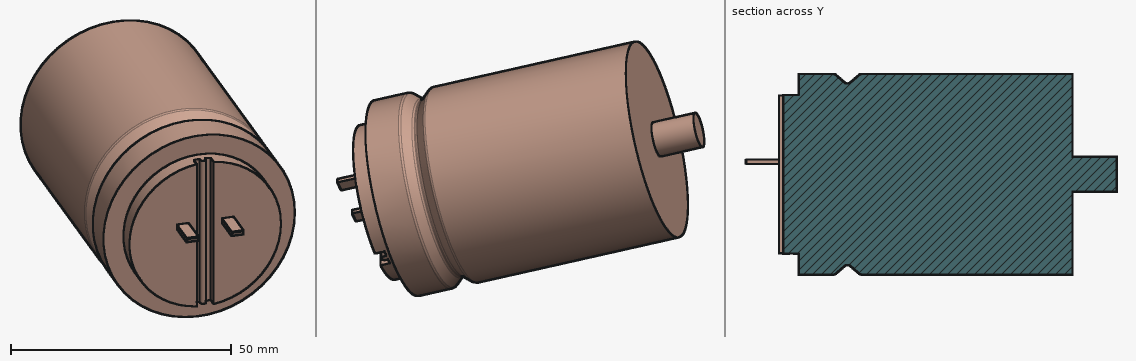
import cadquery as cq
import math

can_diameter = 45.5
can_length = 62.0
can_radius = can_diameter / 2

stud_diameter = 8.0
stud_length = 10.0

groove_center = 50.95
groove_wall_angle = math.radians(41)
groove_bend_radius = 0.8
groove_root_flat = 0.2
groove_wall_run = 2.02

deck_diameter = 36.0
deck_height = 4.5
slot_width = 4.0
slot_depth = deck_height / 2

rib_width = 1.3
rib_height = 1.25

blade_width = 2.8
blade_thickness = 1.1
blade_length = 7.5
blade_chamfer = 0.2
blade_offset_y = 5.35
blade_offset_z = 2.85

overlap = 1.0
deck_end = can_length + deck_height
slot_floor = deck_end - slot_depth


def x_cylinder(diameter, start, length):
    """Cylinder along +X, starting at the given X."""
    return cq.Workplane("YZ", origin=(start, 0, 0)).circle(diameter / 2).extrude(length)


def make_can():
    """Can with a rounded crimp groove, revolved about the X axis."""
    bend_run = groove_bend_radius * math.sin(groove_wall_angle)
    bend_drop = groove_bend_radius * (1 - math.cos(groove_wall_angle))
    half_bend_run = groove_bend_radius * math.sin(groove_wall_angle / 2)
    half_bend_drop = groove_bend_radius * (1 - math.cos(groove_wall_angle / 2))

    flat_end = groove_root_flat / 2
    wall_start = flat_end + bend_run
    wall_end = wall_start + groove_wall_run
    lip_end = wall_end + bend_run
    root_radius = can_radius - 2 * bend_drop - groove_wall_run * math.tan(groove_wall_angle)

    root_middle = (flat_end + half_bend_run, root_radius + half_bend_drop)
    wall_bottom = (wall_start, root_radius + bend_drop)
    wall_top = (wall_end, can_radius - bend_drop)
    lip_middle = (lip_end - half_bend_run, can_radius - half_bend_drop)

    def before(point):
        return (groove_center - point[0], point[1])

    def after(point):
        return (groove_center + point[0], point[1])

    lip_edge = (lip_end, can_radius)
    flat_edge = (flat_end, root_radius)
    return (
        cq.Workplane("XY")
        .moveTo(0, 0)
        .lineTo(0, can_radius)
        .lineTo(*before(lip_edge))
        .threePointArc(before(lip_middle), before(wall_top))
        .lineTo(*before(wall_bottom))
        .threePointArc(before(root_middle), before(flat_edge))
        .lineTo(*after(flat_edge))
        .threePointArc(after(root_middle), after(wall_bottom))
        .lineTo(*after(wall_top))
        .threePointArc(after(lip_middle), after(lip_edge))
        .lineTo(can_length, can_radius)
        .lineTo(can_length, 0)
        .close()
        .revolve(360, (0, 0, 0), (1, 0, 0))
    )


def make_deck():
    """Round deck with a slot along Z and a round-nosed rib left on the slot floor."""
    deck = x_cylinder(deck_diameter, can_length, deck_height)
    slot = cq.Workplane("XY").box(slot_depth, slot_width, deck_diameter, centered=(False, True, True))
    slot = slot.translate((slot_floor, 0, 0))
    nose_center = slot_floor + rib_height - rib_width / 2
    half_width = rib_width / 2
    rib = (
        cq.Workplane("XY")
        .moveTo(slot_floor, -half_width)
        .lineTo(nose_center, -half_width)
        .threePointArc((slot_floor + rib_height, 0), (nose_center, half_width))
        .lineTo(slot_floor, half_width)
        .close()
        .extrude(deck_diameter / 2, both=True)
    )
    return deck.cut(slot.cut(rib))


def make_blade(side):
    """Blade terminal with a chamfered tip; side is +1 or -1 along Y."""
    blade = cq.Workplane("XY").box(
        blade_length + overlap, blade_width, blade_thickness, centered=(False, True, True)
    )
    blade = blade.faces(">X").edges().chamfer(blade_chamfer)
    return blade.translate((deck_end - overlap, side * blade_offset_y, blade_offset_z))


stud = x_cylinder(stud_diameter, -stud_length, stud_length)
result = make_can().union(stud).union(make_deck())
for side in (-1, 1):
    result = result.union(make_blade(side))